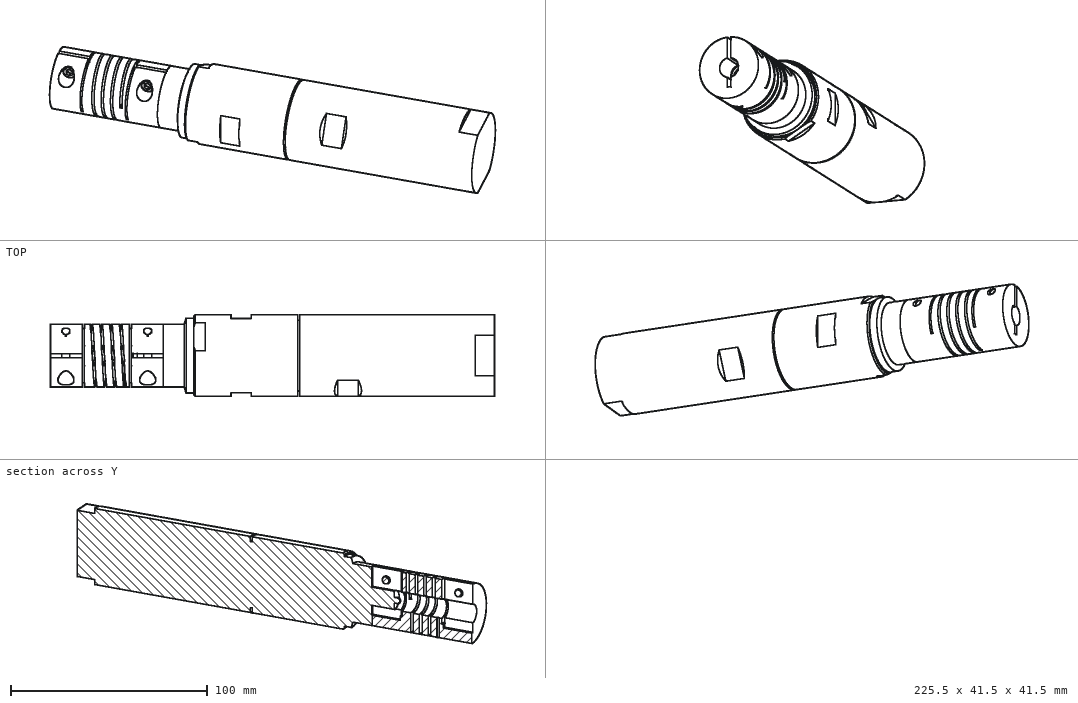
import cadquery as cq
import math


coupling_diameter = 32.0
coupling_length = 57.3
bore_diameter = 10.1
slit_depth_below_axis = 8.1
slit_width = 1.0
left_slit_center = 16.7
hub_length = left_slit_center - slit_width / 2
right_slit_center = coupling_length - left_slit_center
clamp_slot_width = 2.0
clamp_slot_depth_below_axis = 10.1

helix_start = 19.4
helix_pitch = 5.0
helix_turns = 3.75
helix_overrun = 1.0
helix_cut_width = 1.25

screw_offset = 8.0
screw_positions = (screw_offset, coupling_length - screw_offset)
screw_height = 10.0
screw_diameter = 4.0
screw_pocket_diameter = 8.1
screw_head_diameter = 7.0
screw_face_diameter = 6.0
screw_head_height = 4.0
screw_seat = 3.4
screw_tail = 10.0
socket_width = 3.4
socket_depth = 2.0
socket_point_depth = 1.0

total_length = 225.5
housing_diameter = 41.5
housing_front = 72.8
housing_chamfer = 0.8
flange_front = 67.8
flange_cone_length = 1.01
flange_diameter = 38.0
groove_center = 126.0
groove_width = 1.0
groove_diameter = 36

shaft_shoulder = 44.2
pilot_front = 41.2
pilot_diameter = 3.4
pilot_tip_diameter = 1.6

front_flat_angle = 60
side_flat_angle = 0
rear_window_angle = 150
end_flat_angle = 90
flat_apothem = flange_diameter / 2
front_flat_end = 78.7
side_flat_apothem = 19.0
side_flat_start = 91.7
side_flat_length = 10.1
rear_window_start = 145.8
rear_window_length = 10.4
rear_window_end_slope = 1
end_flat_apothem = 18
end_flat_length = 10.0
end_flat_start = total_length - end_flat_length


def x_cylinder(diameter, start, end):
    """Solid cylinder on the X axis between two X positions."""
    return cq.Workplane("YZ", origin=(start, 0, 0)).circle(diameter / 2).extrude(end - start)


def y_cylinder(diameter, x, start, end):
    """Solid cylinder along Y at the screw height between two Y positions."""
    plane = cq.Plane(origin=(x, start, screw_height), xDir=(1, 0, 0), normal=(0, 1, 0))
    return cq.Workplane(plane).circle(diameter / 2).extrude(end - start)


def block_above(z, x_start, x_end, width):
    """Block centred on Y that reaches from height z to clear of the coupling."""
    height = coupling_diameter - z
    block = cq.Workplane("XY").box(x_end - x_start, width, height, centered=(False, True, False))
    return block.translate((x_start, 0, z))


def helical_cutter():
    """Square-sided thread from inside the bore outwards, starting underneath the axis."""
    inner = bore_diameter / 2 - helix_overrun
    outer = coupling_diameter / 2 + helix_overrun
    path = cq.Wire.makeHelix(helix_pitch, helix_pitch * helix_turns, coupling_diameter / 2)
    profile = cq.Workplane("XZ").center((inner + outer) / 2, 0).rect(outer - inner, helix_cut_width)
    thread = profile.sweep(cq.Workplane(path), isFrenet=True)
    return thread.rotate((0, 0, 0), (0, 1, 0), 90).translate((helix_start, 0, 0))


def clamp_screw(x):
    """Socket-head screw with its head toward -Y."""
    head_face = -screw_seat - screw_head_height
    head = y_cylinder(screw_head_diameter, x, head_face, -screw_seat)
    head = head.faces("<Y").chamfer((screw_head_diameter - screw_face_diameter) / 2)
    shank = y_cylinder(screw_diameter, x, -screw_seat, screw_tail)
    socket_plane = cq.Plane(origin=(x, head_face, screw_height), xDir=(0, 0, 1), normal=(0, 1, 0))
    across_corners = socket_width / math.cos(math.pi / 6)
    socket = cq.Workplane(socket_plane).polygon(6, across_corners).extrude(socket_depth)
    socket_floor = cq.Vector(x, head_face + socket_depth, screw_height)
    point = cq.Solid.makeCone(socket_width / 2, 0, socket_point_depth, socket_floor, cq.Vector(0, 1, 0))
    return head.union(shank).cut(socket).cut(cq.Workplane(point))


def make_coupling():
    """Beam coupling, one solid with its two clamp screws."""
    radius = coupling_diameter / 2
    body = x_cylinder(coupling_diameter, 0, coupling_length)
    body = body.cut(x_cylinder(bore_diameter, 0, coupling_length))
    body = body.cut(helical_cutter())
    for center in (left_slit_center, right_slit_center):
        start = center - slit_width / 2
        end = center + slit_width / 2
        body = body.cut(block_above(-slit_depth_below_axis, start, end, 2 * coupling_diameter))
    for start, end in ((0, hub_length), (coupling_length - hub_length, coupling_length)):
        body = body.cut(block_above(-clamp_slot_depth_below_axis, start, end, clamp_slot_width))
    for x in screw_positions:
        body = body.cut(y_cylinder(screw_pocket_diameter, x, -radius, -screw_seat))
        body = body.cut(y_cylinder(screw_diameter, x, -screw_seat, radius))
        body = body.union(clamp_screw(x))
    return body


def housing_blank():
    """Turned shape of the housing and its motor shaft."""
    bore_radius = bore_diameter / 2
    pilot_radius = pilot_diameter / 2
    tip_radius = pilot_tip_diameter / 2
    radius = housing_diameter / 2
    profile = [
        (pilot_front, 0),
        (pilot_front, tip_radius),
        (pilot_front + pilot_radius - tip_radius, pilot_radius),
        (shaft_shoulder, pilot_radius),
        (shaft_shoulder, bore_radius),
        (coupling_length, bore_radius),
        (coupling_length, coupling_diameter / 2),
        (flange_front, coupling_diameter / 2),
        (flange_front + flange_cone_length, flange_diameter / 2),
        (housing_front, flange_diameter / 2),
        (housing_front, radius - housing_chamfer),
        (housing_front + housing_chamfer, radius),
        (groove_center - groove_width / 2, radius),
        (groove_center - groove_width / 2, groove_diameter / 2),
        (groove_center + groove_width / 2, groove_diameter / 2),
        (groove_center + groove_width / 2, radius),
        (total_length, radius),
        (total_length, 0),
    ]
    return cq.Workplane("XY").polyline(profile).close().revolve(360, (0, 0, 0), (1, 0, 0))


def flat_cutters(start, length, apothem, angle, end_slope=0):
    """Two opposite cutters for wrench flats; angle is measured from +Y toward +Z.

    end_slope is how far each end leans outwards per unit of height above the flat.
    """
    height = housing_diameter - apothem
    lean = end_slope * height
    outline = [
        (start, apothem),
        (start + length, apothem),
        (start + length + lean, apothem + height),
        (start - lean, apothem + height),
    ]
    cutter = cq.Workplane("XY").polyline(outline).close().extrude(housing_diameter, both=True)
    return [cutter.rotate((0, 0, 0), (1, 0, 0), turn) for turn in (angle, angle + 180)]


def make_housing():
    """Housing with shaft, groove and four pairs of wrench flats."""
    body = housing_blank()
    cutters = [
        *flat_cutters(housing_front, front_flat_end - housing_front, flat_apothem, front_flat_angle),
        *flat_cutters(side_flat_start, side_flat_length, side_flat_apothem, side_flat_angle),
        *flat_cutters(
            rear_window_start, rear_window_length, flat_apothem, rear_window_angle, rear_window_end_slope
        ),
        *flat_cutters(end_flat_start, end_flat_length, end_flat_apothem, end_flat_angle),
    ]
    for cutter in cutters:
        body = body.cut(cutter)
    return body


coupling = make_coupling()
housing = make_housing()
result = cq.Compound.makeCompound([coupling.val(), housing.val()])